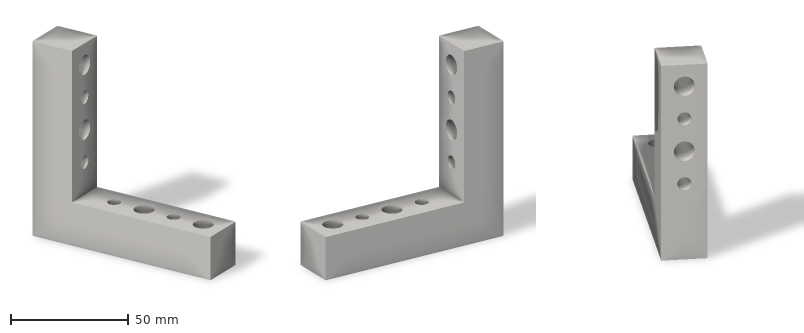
import cadquery as cq

leg_length = 90.0
bar_width = 20.0

large_diameter = 9.0
small_diameter = 6.0
hole_pitch = 15.0
end_margin = 10.0

last_hole = leg_length - end_margin
large_positions = [last_hole, last_hole - 2 * hole_pitch]
small_positions = [last_hole - hole_pitch, last_hole - 3 * hole_pitch]


def make_bracket():
    """Two equal square bars joined at a right angle, outer corner at the origin."""
    base_leg = cq.Workplane("XY").box(leg_length, bar_width, bar_width, centered=(False, True, False))
    upright_leg = cq.Workplane("XY").box(bar_width, bar_width, leg_length, centered=(False, True, False))
    return base_leg.union(upright_leg).clean()


def hole_cutters(positions, diameter):
    """Cylinders through both legs, at the given distances from the outer corner."""
    through_base = (
        cq.Workplane("XY")
        .pushPoints([(distance, 0) for distance in positions])
        .circle(diameter / 2)
        .extrude(bar_width)
    )
    through_upright = (
        cq.Workplane("YZ")
        .pushPoints([(0, distance) for distance in positions])
        .circle(diameter / 2)
        .extrude(bar_width)
    )
    return through_base.add(through_upright).combine()


result = make_bracket()
for positions, diameter in [(large_positions, large_diameter), (small_positions, small_diameter)]:
    result = result.cut(hole_cutters(positions, diameter))